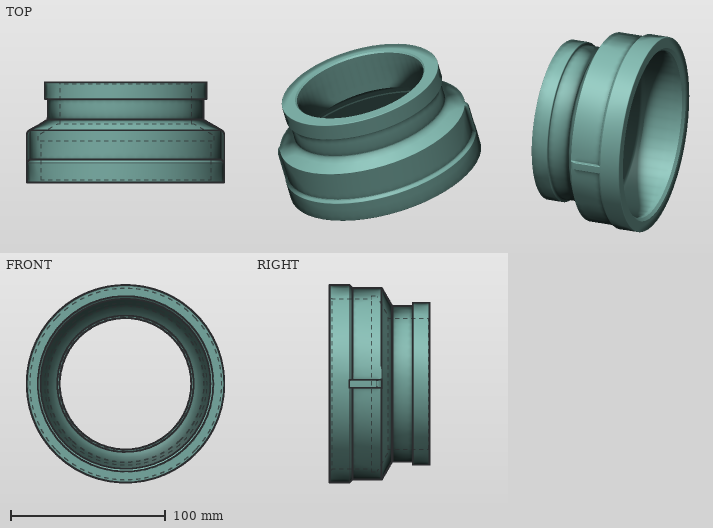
import cadquery as cq
import math

total_length = 65.0
flange_length = 13.0
body_end = 34.0
head_start = 54.0

flange_diameter = 128.0
body_diameter = 124.0
neck_diameter = 101.0
head_diameter = 105.0
edge_round = 0.5
shoulder_angle = math.radians(60.0)

mouth_chamfer = 1.75
socket_diameter = 110.07
socket_depth = 27.0
groove_diameter = 114.0
groove_fillet = 2.0
throat_diameter = 88.4
throat_depth = 38.0
bore_diameter = 84.93
exit_chamfer = 1.0

rib_width = 5.0
rib_root_fillet = 0.5
rib_top_round = 0.3
rib_embedding = 2.0

flange_radius = flange_diameter / 2
body_radius = body_diameter / 2
neck_radius = neck_diameter / 2
head_radius = head_diameter / 2
step_height = flange_radius - body_radius
shoulder_end = body_end + (body_radius - neck_radius) / math.tan(shoulder_angle)


def revolve_about_y(outline):
    return outline.close().revolve(360, (0, 0, 0), (0, 1, 0))


def point_on_circle(center, radius, angle):
    return (center[0] + radius * math.cos(angle), center[1] + radius * math.sin(angle))


def make_outer_body():
    """Solid flange, body, shoulder, neck and head with every outer edge rounded."""
    sharp_body = revolve_about_y(
        cq.Workplane("XY")
        .moveTo(0, 0)
        .lineTo(flange_radius, 0)
        .lineTo(flange_radius, flange_length)
        .lineTo(body_radius, flange_length + step_height)
        .lineTo(body_radius, body_end)
        .lineTo(neck_radius, shoulder_end)
        .lineTo(neck_radius, head_start)
        .lineTo(head_radius, head_start)
        .lineTo(head_radius, total_length)
        .lineTo(0, total_length)
    )
    return sharp_body.edges("%CIRCLE").fillet(edge_round)


def make_bore():
    socket_radius = socket_diameter / 2
    groove_radius = groove_diameter / 2
    throat_radius = throat_diameter / 2
    bore_radius = bore_diameter / 2

    cone_start = throat_depth - (groove_radius - throat_radius) / math.tan(shoulder_angle)
    fillet_start = cone_start - groove_fillet * math.tan(shoulder_angle / 2)
    fillet_center = (groove_radius - groove_fillet, fillet_start)

    return revolve_about_y(
        cq.Workplane("XY")
        .moveTo(0, 0)
        .lineTo(socket_radius + mouth_chamfer, 0)
        .lineTo(socket_radius, mouth_chamfer)
        .lineTo(socket_radius, socket_depth)
        .lineTo(groove_radius, socket_depth)
        .lineTo(groove_radius, fillet_start)
        .threePointArc(
            point_on_circle(fillet_center, groove_fillet, shoulder_angle / 2),
            point_on_circle(fillet_center, groove_fillet, shoulder_angle),
        )
        .lineTo(throat_radius, throat_depth)
        .lineTo(bore_radius, throat_depth)
        .lineTo(bore_radius, total_length - exit_chamfer)
        .lineTo(bore_radius + exit_chamfer, total_length)
        .lineTo(0, total_length)
    )


def make_rib_bar():
    """Bar on the +X side with a rounded top and fillets running out onto the body."""
    half_width = rib_width / 2
    root_radius = body_radius - rib_embedding

    root_center_z = half_width + rib_root_fillet
    root_center_distance = body_radius + rib_root_fillet
    root_center = (math.sqrt(root_center_distance**2 - root_center_z**2), root_center_z)
    root_direction = math.asin(root_center_z / root_center_distance)
    root_start = point_on_circle((0, 0), body_radius, root_direction)
    root_arc_start = math.pi + root_direction
    root_arc_end = 1.5 * math.pi
    root_middle = point_on_circle(root_center, rib_root_fillet, (root_arc_start + root_arc_end) / 2)

    top_center_z = half_width - rib_top_round
    top_center_distance = flange_radius - rib_top_round
    top_center = (math.sqrt(top_center_distance**2 - top_center_z**2), top_center_z)
    top_direction = math.asin(top_center_z / top_center_distance)
    top_end = point_on_circle((0, 0), flange_radius, top_direction)
    top_middle = point_on_circle(top_center, rib_top_round, (math.pi / 2 + top_direction) / 2)

    def mirrored(point):
        return (point[0], -point[1])

    return (
        cq.Workplane("XZ", origin=(0, flange_length, 0))
        .moveTo(root_radius, root_start[1])
        .lineTo(*root_start)
        .threePointArc(root_middle, (root_center[0], half_width))
        .lineTo(top_center[0], half_width)
        .threePointArc(top_middle, top_end)
        .threePointArc((flange_radius, 0), mirrored(top_end))
        .threePointArc(mirrored(top_middle), (top_center[0], -half_width))
        .lineTo(root_center[0], -half_width)
        .threePointArc(mirrored(root_middle), mirrored(root_start))
        .lineTo(root_radius, -root_start[1])
        .close()
        .extrude(flange_length - body_end - rib_embedding)
    )


def make_ribs():
    """Two opposite ribs, flush with the flange, whose far ends curve down into the shoulder."""
    end_radius = step_height / (1 - math.cos(shoulder_angle))
    end_center = (
        flange_radius - end_radius,
        body_end - end_radius * math.sin(shoulder_angle),
    )
    root_radius = body_radius - rib_embedding
    envelope = revolve_about_y(
        cq.Workplane("XY")
        .moveTo(root_radius, flange_length)
        .lineTo(flange_radius, flange_length)
        .lineTo(flange_radius, end_center[1])
        .threePointArc(
            point_on_circle(end_center, end_radius, shoulder_angle / 2),
            (body_radius, body_end),
        )
        .lineTo(root_radius, body_end)
    )
    rib = make_rib_bar().intersect(envelope)
    return rib.union(rib.mirror("YZ"))


result = make_outer_body().union(make_ribs()).cut(make_bore())